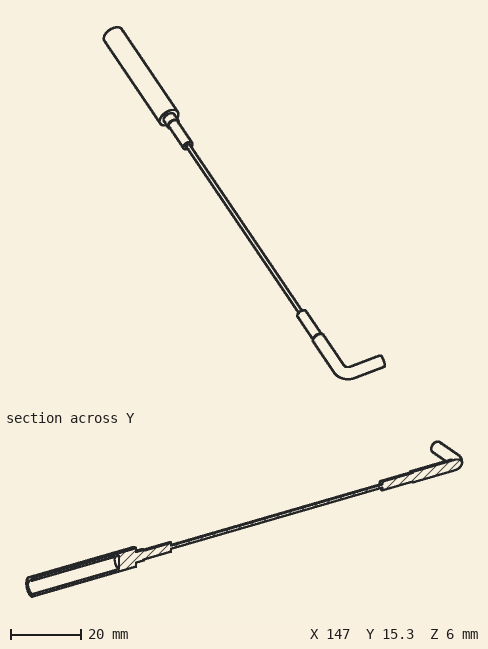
import cadquery as cq

overall_length = 147.0
sleeve_diameter = 6.0
sleeve_end = 35.3
bore_diameter = 4.1
bore_depth = 29.4

collar_diameter = 3.5
collar_end = 37.9
ferrule_diameter = 3.0
near_ferrule_end = 47.2
wire_diameter = 1.2
far_ferrule_start = 118.9
far_ferrule_end = 129.2

pin_diameter = 3.5
bend_radius = 2.8
overall_width = 15.3
pin_tip_y = overall_width - sleeve_diameter / 2
arm_x = overall_length - pin_diameter / 2
bend_start = arm_x - bend_radius


def axial_cylinder(start, end, diameter):
    """Solid cylinder on the main axis between two X positions."""
    return cq.Workplane("YZ", origin=(start, 0, 0)).circle(diameter / 2).extrude(end - start)


def bent_pin():
    """Round pin with a right-angle elbow."""
    straight = axial_cylinder(far_ferrule_end, bend_start, pin_diameter)
    elbow = (
        cq.Workplane("YZ", origin=(bend_start, 0, 0))
        .circle(pin_diameter / 2)
        .revolve(90, (bend_radius, 0, 0), (bend_radius, 1, 0))
    )
    arm = (
        cq.Workplane("XZ", origin=(arm_x, bend_radius, 0))
        .circle(pin_diameter / 2)
        .extrude(bend_radius - pin_tip_y)
    )
    return straight.union(elbow).union(arm)


sections = [
    (sleeve_end, collar_end, collar_diameter),
    (collar_end, near_ferrule_end, ferrule_diameter),
    (near_ferrule_end, far_ferrule_start, wire_diameter),
    (far_ferrule_start, far_ferrule_end, ferrule_diameter),
]

result = axial_cylinder(0, sleeve_end, sleeve_diameter)
for start, end, diameter in sections:
    result = result.union(axial_cylinder(start, end, diameter))
result = result.union(bent_pin())

result = result.cut(axial_cylinder(0, bore_depth, bore_diameter))